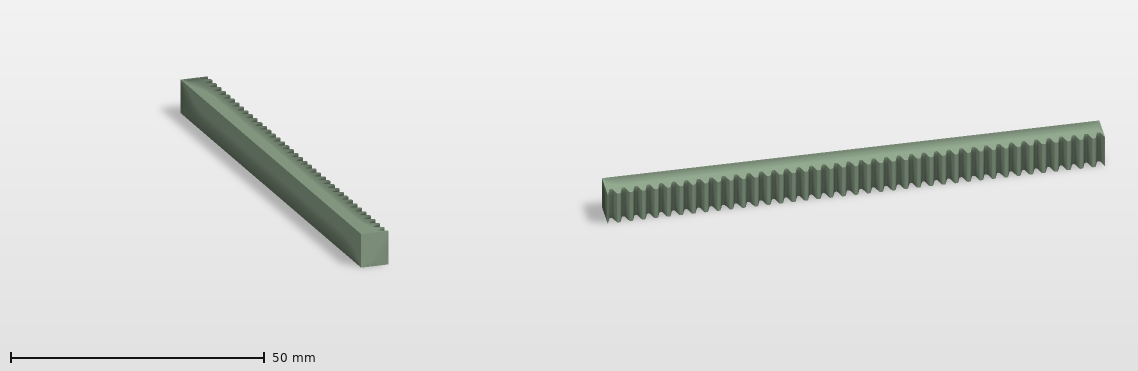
import cadquery as cq
import math

length = 100.0
height = 5.75
face_width = 7.0

module = 0.8
pressure_angle = math.radians(20.0)
pitch = math.pi * module
addendum = module
dedendum = 1.25 * module
fillet_radius = module / 3

tooth_count = 41
first_tooth_center = (length - (tooth_count - 1) * pitch) / 2

pitch_line = height - addendum
root_line = pitch_line - dedendum
half_tip = pitch / 4 - addendum * math.tan(pressure_angle)
half_base = pitch / 4 + dedendum * math.tan(pressure_angle)


def make_untrimmed_rack():
    """Sharp-edged rack of whole teeth, slightly longer than the bar."""
    left_end = first_tooth_center - pitch / 2
    right_end = left_end + tooth_count * pitch
    outline = [(left_end, 0), (left_end, root_line)]
    for i in range(tooth_count):
        center = first_tooth_center + i * pitch
        outline += [
            (center - half_base, root_line),
            (center - half_tip, height),
            (center + half_tip, height),
            (center + half_base, root_line),
        ]
    outline += [(right_end, root_line), (right_end, 0)]
    return cq.Workplane("XY").polyline(outline).close().extrude(face_width)


def edges_at(y):
    """Selector for the tooth edges along Z at the given Y, leaving out the rack ends."""
    margin = pitch / 8
    reach = tooth_count * pitch / 2 - margin
    middle = length / 2
    return cq.selectors.BoxSelector(
        (middle - reach, y - margin, 0), (middle + reach, y + margin, face_width)
    )


def make_rack():
    """Rack with rounded tooth roots and tips, trimmed to the bar length."""
    rack = make_untrimmed_rack()
    rack = rack.edges("|Z").edges(edges_at(root_line)).fillet(fillet_radius)
    rack = rack.edges("|Z").edges(edges_at(height)).fillet(fillet_radius)
    bar = cq.Workplane("XY").box(length, height, face_width, centered=False)
    return rack.intersect(bar)


result = make_rack()